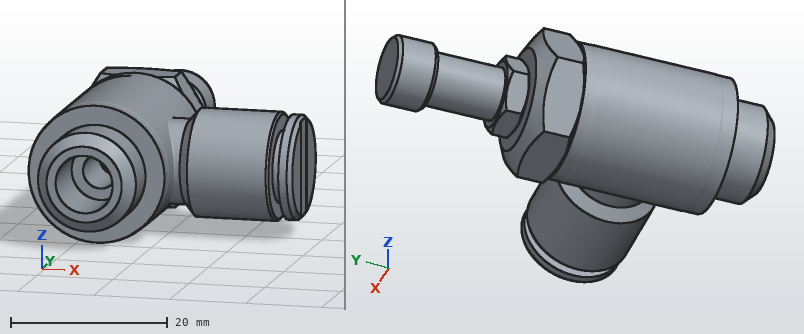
import cadquery as cq
import math


SPIGOT_FRONT = -16.88
WASHER_FRONT = SPIGOT_FRONT + 6.5
BODY_FRONT = WASHER_FRONT + 1.9
BODY_REAR = BODY_FRONT + 17.0
HEX_FRONT = BODY_REAR + 1.85
LOCKNUT_FRONT = HEX_FRONT + 5.95
STEM_FRONT = LOCKNUT_FRONT + 3.0
HEAD_FRONT = STEM_FRONT + 9.35
OVERALL_LENGTH = 51.01
HEAD_REAR = SPIGOT_FRONT + OVERALL_LENGTH

SPIGOT_DIAMETER = 12.9
SPIGOT_CHAMFER = 1.5
BORE_DIAMETER = 7.5
BORE_DEPTH = BODY_FRONT - SPIGOT_FRONT
SEAT_DIAMETER = 4.5
WASHER_DIAMETER = 17.9
BODY_DIAMETER = 18.0
BODY_EDGE_LENGTH = 0.25
STEM_DIAMETER = 7.0
HEAD_DIAMETER = 9.0
HEAD_EDGE_DIAMETER = 8.15
HEAD_CHAMFER_LENGTH = 0.5

HEX_ACROSS_FLATS = 17.0
HEX_FRONT_CIRCLE = 17.2
HEX_REAR_CIRCLE = 13.5
LOCKNUT_ACROSS_FLATS = 9.0
LOCKNUT_CIRCLE = 8.7
HEX_CHAMFER_SLOPE = math.tan(math.radians(30))

NECK_DIAMETER = 11.0
NECK_FILLET = 0.2
SOCKET_DIAMETER = 14.0
SOCKET_CONE_START = 9.7
SOCKET_START = 11.05
SOCKET_END = 21.7
SOCKET_CHAMFER = 0.3
COLLET_DIAMETER = 9.3
COLLET_ROOT_DIAMETER = 9.7
COLLET_ROOT_LENGTH = 0.25
FLANGE_DIAMETER = 13.5
FLANGE_START = 23.0
OVERALL_WIDTH = 34.52
FLANGE_END = OVERALL_WIDTH - HEX_ACROSS_FLATS / math.sqrt(3)
FLANGE_CHAMFER = 0.6
FLANGE_SLOT_WIDTH = 3.0
FLANGE_SLOT_DEPTH = 0.15


def cylinder_y(diameter, start, end):
    """Cylinder on the main axis between two Y stations."""
    return cq.Workplane("XZ", origin=(0, start, 0)).circle(diameter / 2).extrude(start - end)


def cylinder_x(diameter, start, end):
    """Cylinder on the port axis between two X stations."""
    return cq.Workplane("YZ", origin=(start, 0, 0)).circle(diameter / 2).extrude(end - start)


def cone_x(start_diameter, end_diameter, start, end):
    """Truncated cone on the port axis between two X stations."""
    return (
        cq.Workplane("YZ", origin=(start, 0, 0)).circle(start_diameter / 2)
        .workplane(offset=end - start).circle(end_diameter / 2).loft(ruled=True)
    )


def turned_y(stations):
    """Solid of revolution about Y through (diameter, y) stations."""
    points = [(diameter / 2, y) for diameter, y in stations]
    outline = [(0, stations[0][1])] + points + [(0, stations[-1][1])]
    return cq.Workplane("XY").polyline(outline).close().revolve(360, (0, 0, 0), (0, 1, 0))


def chamfered_hexagon(across_flats, front, rear, front_circle, rear_circle):
    """Hexagonal prism along Y whose corners are turned down to a circle at each end."""
    across_corners = across_flats * 2 / math.sqrt(3)
    front_chamfer = (across_corners - front_circle) / 2 * HEX_CHAMFER_SLOPE
    rear_chamfer = (across_corners - rear_circle) / 2 * HEX_CHAMFER_SLOPE
    prism = cq.Workplane("XZ", origin=(0, front, 0)).polygon(6, across_corners).extrude(front - rear)
    envelope = turned_y([
        (front_circle, front),
        (across_corners, front + front_chamfer),
        (across_corners, rear - rear_chamfer),
        (rear_circle, rear),
    ])
    return prism.intersect(envelope)


def make_body():
    """Swivel body between the front washer and the rear ring."""
    return turned_y([
        (WASHER_DIAMETER, WASHER_FRONT),
        (WASHER_DIAMETER, BODY_FRONT),
        (BODY_DIAMETER, BODY_FRONT + BODY_EDGE_LENGTH),
        (BODY_DIAMETER, BODY_REAR - BODY_EDGE_LENGTH),
        (WASHER_DIAMETER, BODY_REAR),
        (WASHER_DIAMETER, HEX_FRONT),
    ])


def make_neck():
    """Neck joining the body to the port socket."""
    return cylinder_x(NECK_DIAMETER, 0, SOCKET_CONE_START)


def fillet_neck(solid):
    """Blend the neck into the cylindrical wall of the body."""
    reach = NECK_DIAMETER / 2 + NECK_FILLET
    root_box = cq.selectors.BoxSelector((0, -reach, -reach), (SOCKET_CONE_START - NECK_FILLET, reach, reach))
    return solid.edges(root_box).fillet(NECK_FILLET)


def make_socket():
    """Tube socket with a conical root."""
    cone = cone_x(NECK_DIAMETER, SOCKET_DIAMETER, SOCKET_CONE_START, SOCKET_START)
    barrel = cylinder_x(SOCKET_DIAMETER, SOCKET_START, SOCKET_END).faces(">X").chamfer(SOCKET_CHAMFER)
    return cone.union(barrel)


def make_collet():
    """Release collet with a chamfered flange and a shallow slot along Z across its end face."""
    root_start = FLANGE_START - COLLET_ROOT_LENGTH
    collet = cylinder_x(COLLET_DIAMETER, SOCKET_END, root_start)
    root = cone_x(COLLET_DIAMETER, COLLET_ROOT_DIAMETER, root_start, FLANGE_START)
    flange = cylinder_x(FLANGE_DIAMETER, FLANGE_START, FLANGE_END).faces(">X").chamfer(FLANGE_CHAMFER)
    slot = (
        cq.Workplane("YZ", origin=(FLANGE_END - FLANGE_SLOT_DEPTH, 0, 0))
        .rect(FLANGE_SLOT_WIDTH, FLANGE_DIAMETER).extrude(FLANGE_SLOT_DEPTH)
    )
    return collet.union(root).union(flange.cut(slot))


def make_spigot():
    """Chamfered screw-in end."""
    spigot = cylinder_y(SPIGOT_DIAMETER, SPIGOT_FRONT, WASHER_FRONT)
    return spigot.faces("<Y").chamfer(SPIGOT_CHAMFER)


def make_bore():
    """Stepped bore from the spigot end to the port axis."""
    bore = cylinder_y(BORE_DIAMETER, SPIGOT_FRONT, SPIGOT_FRONT + BORE_DEPTH)
    return bore.union(cylinder_y(SEAT_DIAMETER, SPIGOT_FRONT, 0))


def make_adjuster():
    """Adjusting stem with its chamfered head."""
    stem = cylinder_y(STEM_DIAMETER, STEM_FRONT, HEAD_FRONT)
    head = turned_y([
        (HEAD_EDGE_DIAMETER, HEAD_FRONT),
        (HEAD_DIAMETER, HEAD_FRONT + HEAD_CHAMFER_LENGTH),
        (HEAD_DIAMETER, HEAD_REAR - HEAD_CHAMFER_LENGTH),
        (HEAD_EDGE_DIAMETER, HEAD_REAR),
    ])
    return stem.union(head)


main_hexagon = chamfered_hexagon(
    HEX_ACROSS_FLATS, HEX_FRONT, LOCKNUT_FRONT, HEX_FRONT_CIRCLE, HEX_REAR_CIRCLE
)
locknut = chamfered_hexagon(
    LOCKNUT_ACROSS_FLATS, LOCKNUT_FRONT, STEM_FRONT, LOCKNUT_CIRCLE, LOCKNUT_CIRCLE
)

result = fillet_neck(make_body().union(make_neck()))
for part in (make_socket(), make_collet(), make_spigot(), main_hexagon, locknut, make_adjuster()):
    result = result.union(part)
result = result.cut(make_bore())